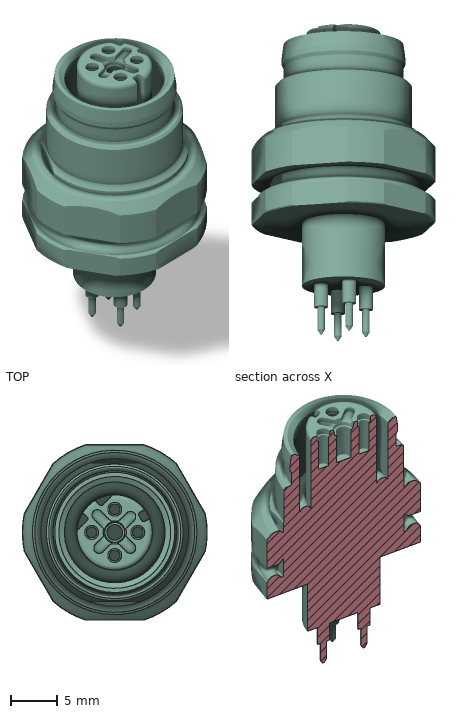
import cadquery as cq
import math


across_flats = 19.0
across_rounded_corners = 20.0
flange_height = 2.5
flange_edge_chamfer = 0.12
nut_bottom = 4.5
nut_top = nut_bottom + 5.0
nut_face_radius = 8.65
nut_rim_radius = 8.9
nut_rim_drop = 0.12

seal_section_radius = 0.85
seal_centre_radius = 8.6
seal_height = 0.65

thread_radius = 16.0 / 2
thread_top = 10.0
thread_chamfer_height = 0.5
shank_across_flats = 15.0

body_radius = 14.8 / 2
body_top = 15.45
body_chamfer = 0.25
neck_radius = 13.0 / 2
neck_foot = 0.15
rim_radius = 13.4 / 2
rim_undercut_bottom = 17.32
rim_bottom = 17.69
rim_cone_bottom = 18.36
sleeve_top = 19.87

mouth_radius = 12.1 / 2
bore_radius = 10.9 / 2
mouth_cone_height = 0.5
bore_floor = 11.0
bead_height = 0.6

carrier_radius = 8.15 / 2
carrier_top = 21.35
carrier_rounding = 0.47

contact_circle_radius = 2.5
socket_mouth_radius = 1.5 / 2
socket_radius = 1.15 / 2
socket_mouth_depth = 0.8
socket_depth = 5.0
centre_mouth_radius = 1.26
centre_step_radius = 2.15 / 2
centre_step_depth = 0.92
centre_hole_radius = 1.68 / 2
slot_width = 1.15
slot_depth = 0.55
slot_end_distance = 2.4
long_slot_end_distance = 2.68
slot_angles = (45, 225, 315)
long_slot_angle = 135

key_notch_angle = 29.5
key_notch_width = 1.12
key_notch_floor_radius = 3.17
key_notch_rounding = 0.25
key_flat_angle = 135.0
key_flat_distance = 3.03
key_tab_width = 1.9
key_tab_root_rounding = 0.2

stem_radius = 9.0 / 2
stem_length = 6.95
pin_shoulder_radius = 1.5 / 2
pin_shoulder_length = 2.5
pin_radius = 0.8 / 2
pin_length = 2.5
pin_tip_radius = 0.1
pin_tip_length = 0.5

contact_angles = (0, 90, 180, 270)


def revolve_profile(points):
    """Solid of revolution about Z from (radius, height) points."""
    return cq.Workplane("XZ").polyline(points).close().revolve(360, (0, 0, 0), (0, 1, 0))


def cylinder(radius, bottom, top):
    return cq.Workplane("XY").workplane(offset=bottom).circle(radius).extrude(top - bottom)


def hexagonal(turned_blank, bottom, top):
    """Cuts a turned blank to a hexagon with flats facing +Y and -Y."""
    across_corners = across_flats / math.cos(math.pi / 6)
    prism = cq.Workplane("XY").workplane(offset=bottom).polygon(6, across_corners).extrude(top - bottom)
    return turned_blank.intersect(prism)


def turned(solid, angle):
    """The solid turned about the Z axis by an angle in degrees."""
    return solid.rotate((0, 0, 0), (0, 0, 1), angle)


def at_contacts(solid):
    """Copies of a solid on the Z axis, placed at the four contact positions."""
    first = solid.translate((contact_circle_radius, 0, 0))
    copies = cq.Workplane("XY")
    for angle in contact_angles:
        copies = copies.add(turned(first, angle))
    return copies.combine()


def make_flange():
    outer = across_rounded_corners / 2
    face = outer - flange_edge_chamfer
    blank = revolve_profile([
        (0, 0),
        (face, 0),
        (outer, flange_edge_chamfer),
        (outer, flange_height - flange_edge_chamfer),
        (face, flange_height),
        (0, flange_height),
    ])
    return hexagonal(blank, 0, flange_height)


def make_seal():
    centre_height = flange_height + seal_height - seal_section_radius
    section = cq.Workplane("XZ").center(seal_centre_radius, centre_height).circle(seal_section_radius)
    return section.revolve(360, (-seal_centre_radius, 0, 0), (-seal_centre_radius, 1, 0))


def make_nut():
    outer = across_rounded_corners / 2
    rim_height = nut_top - nut_rim_drop
    flat_distance = shank_across_flats / 2
    countersink = thread_radius - flat_distance
    blank = revolve_profile([
        (thread_radius, nut_bottom),
        (outer, nut_bottom),
        (outer, rim_height - (outer - nut_rim_radius)),
        (nut_rim_radius, rim_height),
        (nut_face_radius, nut_top),
        (thread_radius, nut_top),
        (flat_distance, nut_top - countersink),
        (flat_distance, nut_bottom + countersink),
    ])
    return hexagonal(blank, nut_bottom, nut_top)


def make_shank():
    shank = revolve_profile([
        (0, 0),
        (thread_radius, 0),
        (thread_radius, thread_top),
        (body_radius, thread_top + thread_chamfer_height),
        (0, thread_top + thread_chamfer_height),
    ])
    between_flats = cq.Workplane("XY").box(
        2 * thread_radius, shank_across_flats, body_top, centered=(True, True, False)
    )
    return shank.intersect(between_flats)


def make_sleeve():
    return revolve_profile([
        (0, 0),
        (body_radius, 0),
        (body_radius, body_top - body_chamfer),
        (body_radius - body_chamfer, body_top),
        (neck_radius + neck_foot, body_top),
        (neck_radius, body_top + neck_foot),
        (neck_radius, rim_undercut_bottom),
        (rim_radius, rim_bottom),
        (rim_radius, rim_cone_bottom),
        (neck_radius, sleeve_top),
        (0, sleeve_top),
    ])


def make_bore():
    """Void of the sleeve: a conical mouth, a straight bore and a raised bead around the carrier."""
    bead_middle = (carrier_radius + bore_radius) / 2
    return (
        cq.Workplane("XZ")
        .moveTo(0, sleeve_top)
        .lineTo(mouth_radius, sleeve_top)
        .lineTo(bore_radius, sleeve_top - mouth_cone_height)
        .lineTo(bore_radius, bore_floor)
        .threePointArc((bead_middle, bore_floor + bead_height), (carrier_radius, bore_floor))
        .lineTo(0, bore_floor)
        .close()
        .revolve(360, (0, 0, 0), (0, 1, 0))
    )


def make_key_notch():
    length = carrier_radius
    notch = cq.Workplane("XY").workplane(offset=bore_floor).center(key_notch_floor_radius + length / 2, 0)
    notch = notch.rect(length, key_notch_width).extrude(carrier_top - bore_floor)
    notch = notch.edges("|Z and <X").fillet(key_notch_rounding)
    return turned(notch, key_notch_angle)


def make_key_flat():
    """Material removed on both sides of the tab that stands on the flat of the carrier."""
    height = carrier_top - bore_floor
    depth = carrier_radius
    workplane = cq.Workplane("XY").workplane(offset=bore_floor).center(key_flat_distance + depth / 2, 0)
    beyond_flat = workplane.rect(depth, 2 * carrier_radius).extrude(height)
    tab = workplane.rect(depth, key_tab_width).extrude(height)
    sides = beyond_flat.cut(tab)
    tab_roots = cq.selectors.BoxSelector(
        (key_flat_distance - key_tab_root_rounding, -key_tab_width, bore_floor),
        (key_flat_distance + key_tab_root_rounding, key_tab_width, carrier_top),
    )
    sides = sides.edges("|Z").edges(tab_roots).fillet(key_tab_root_rounding)
    return turned(sides, key_flat_angle)


def make_slot(angle, end_distance):
    """Shallow slot from the axis outwards with a round outer end."""
    floor = carrier_top - slot_depth
    slot = cq.Workplane("XY").workplane(offset=floor).center(end_distance / 2, 0)
    slot = slot.slot2D(end_distance + slot_width, slot_width).extrude(slot_depth)
    return turned(slot, angle)


def make_sockets():
    mouth_floor = carrier_top - socket_mouth_depth
    mouth = cylinder(socket_mouth_radius, mouth_floor, carrier_top)
    hole = cylinder(socket_radius, carrier_top - socket_depth, mouth_floor)
    return at_contacts(mouth.union(hole))


def make_centre_hole():
    """Blind hole under a tapered mouth that ends at a flat step."""
    step_floor = carrier_top - centre_step_depth
    hole_floor = carrier_top - socket_depth
    return revolve_profile([
        (0, hole_floor),
        (centre_hole_radius, hole_floor),
        (centre_hole_radius, step_floor),
        (centre_step_radius, step_floor),
        (centre_mouth_radius, carrier_top),
        (0, carrier_top),
    ])


def make_carrier():
    carrier = cylinder(carrier_radius, bore_floor - bead_height, carrier_top)
    carrier = carrier.faces(">Z").edges().fillet(carrier_rounding)
    carrier = carrier.cut(make_key_notch()).cut(make_key_flat())
    for angle in slot_angles:
        carrier = carrier.cut(make_slot(angle, slot_end_distance))
    carrier = carrier.cut(make_slot(long_slot_angle, long_slot_end_distance))
    return carrier.cut(make_sockets()).cut(make_centre_hole())


def make_pins():
    shoulder_end = -stem_length - pin_shoulder_length
    cone_start = shoulder_end - pin_length
    pin = revolve_profile([
        (0, -stem_length),
        (pin_shoulder_radius, -stem_length),
        (pin_shoulder_radius, shoulder_end),
        (pin_radius, shoulder_end),
        (pin_radius, cone_start),
        (pin_tip_radius, cone_start - pin_tip_length),
        (0, cone_start - pin_tip_length),
    ])
    return at_contacts(pin)


housing = make_shank().union(make_sleeve()).union(make_flange()).union(make_seal()).union(make_nut())
housing = housing.cut(make_bore()).union(make_carrier())
stem = cylinder(stem_radius, -stem_length, 0)
result = housing.union(stem).union(make_pins())